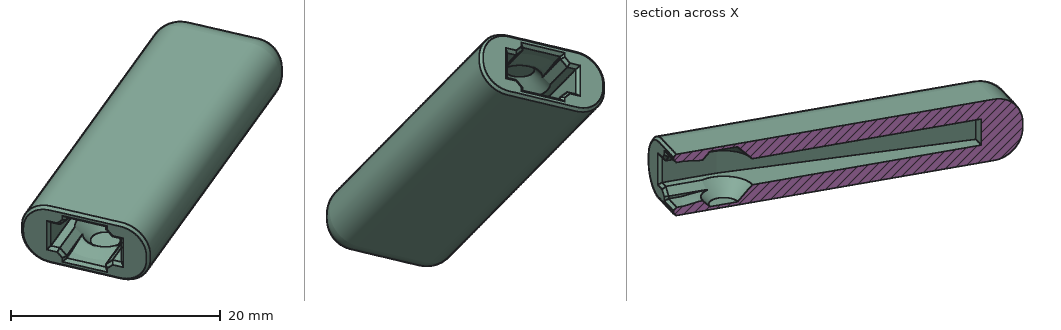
import cadquery as cq
import math

WIDTH = 13.25
LENGTH = 36.0
HEIGHT = 6.5
EDGE_RADIUS = 3.0
MOUTH_CHAMFER = 0.3

SLOT_WIDTH = 7.27
SLOT_HEIGHT = 2.7
SLOT_DEPTH = 31.68
SLOT_END_WIDTH = 2.65

CHANNEL_WIDTH = 4.0
CHANNEL_HEIGHT = 4.68
CHANNEL_DEPTH = 5.95
CHANNEL_CORNER_BEVEL = 0.72
LEAD_IN = 0.32

BUMP_CENTER_DEPTH = 5.2
BUMP_RISE = 0.2
BUMP_BASE_RADIUS = 4.05
BUMP_TOP_RADIUS = 2.52
RECESS_RADIUS = 2.95
RECESS_BOTTOM_Z = 2.88

MOUTH_Y = -LENGTH / 2


def mouth_profile(offset):
    """Outline of slot and channel, grown by offset, on the mouth plane."""
    slot_x = SLOT_WIDTH / 2 + offset
    slot_z = SLOT_HEIGHT / 2 + offset
    channel_x = CHANNEL_WIDTH / 2 + offset
    channel_z = CHANNEL_HEIGHT / 2 + offset
    bevel = CHANNEL_CORNER_BEVEL - offset * (2 - math.sqrt(2))
    bevel_x = channel_x + bevel
    bevel_z = slot_z + bevel
    return (
        cq.Workplane("XZ")
        .moveTo(-slot_x, -slot_z)
        .lineTo(-bevel_x, -slot_z)
        .lineTo(-channel_x, -bevel_z)
        .lineTo(-channel_x, -channel_z)
        .lineTo(channel_x, -channel_z)
        .lineTo(channel_x, -bevel_z)
        .lineTo(bevel_x, -slot_z)
        .lineTo(slot_x, -slot_z)
        .lineTo(slot_x, slot_z)
        .lineTo(bevel_x, slot_z)
        .lineTo(channel_x, bevel_z)
        .lineTo(channel_x, channel_z)
        .lineTo(-channel_x, channel_z)
        .lineTo(-channel_x, bevel_z)
        .lineTo(-bevel_x, slot_z)
        .lineTo(-slot_x, slot_z)
        .close()
        .wire()
        .val()
    )


def make_body():
    body = cq.Workplane("XY").box(WIDTH, LENGTH, HEIGHT)
    body = body.edges("|Y").fillet(EDGE_RADIUS)
    body = body.faces(">Y").edges().fillet(EDGE_RADIUS)
    return body.faces("<Y").chamfer(MOUTH_CHAMFER)


def make_slot():
    half_width = SLOT_WIDTH / 2
    half_end = SLOT_END_WIDTH / 2
    end_y = MOUTH_Y + SLOT_DEPTH
    taper_y = MOUTH_Y + CHANNEL_DEPTH
    outline = [
        (-half_width, MOUTH_Y),
        (half_width, MOUTH_Y),
        (half_width, taper_y),
        (half_end, end_y),
        (-half_end, end_y),
        (-half_width, taper_y),
    ]
    return cq.Workplane("XY").polyline(outline).close().extrude(SLOT_HEIGHT / 2, both=True)


def make_channel():
    profile = mouth_profile(0).moved(cq.Location(cq.Vector(0, MOUTH_Y, 0)))
    return cq.Solid.extrudeLinear(profile, [], cq.Vector(0, CHANNEL_DEPTH, 0))


def make_lead_in():
    """Bevel leading from the mouth into the slot and channel."""
    outer = mouth_profile(LEAD_IN).moved(cq.Location(cq.Vector(0, MOUTH_Y, 0)))
    inner = mouth_profile(0).moved(cq.Location(cq.Vector(0, MOUTH_Y + LEAD_IN, 0)))
    return cq.Solid.makeLoft([outer, inner], True)


def make_bumps():
    """Shallow cones standing on the channel floor and roof."""
    floor_z = CHANNEL_HEIGHT / 2
    top_z = floor_z - BUMP_RISE
    bump = (
        cq.Workplane("XZ")
        .moveTo(0, floor_z)
        .lineTo(BUMP_BASE_RADIUS, floor_z)
        .lineTo(BUMP_TOP_RADIUS, top_z)
        .lineTo(0, top_z)
        .close()
        .revolve(360, (0, 0), (0, 1))
    )
    bumps = bump.union(bump.mirror("XY"))
    return bumps.translate((0, MOUTH_Y + BUMP_CENTER_DEPTH, 0))


def make_recesses():
    """45 degree cones narrowing away from the slot, above and below it."""
    slot_z = SLOT_HEIGHT / 2
    bottom_radius = RECESS_RADIUS - (RECESS_BOTTOM_Z - slot_z)
    recess = (
        cq.Workplane("XZ")
        .lineTo(RECESS_RADIUS, 0)
        .lineTo(RECESS_RADIUS, slot_z)
        .lineTo(bottom_radius, RECESS_BOTTOM_Z)
        .lineTo(0, RECESS_BOTTOM_Z)
        .close()
        .revolve(360, (0, 0), (0, 1))
    )
    recesses = recess.union(recess.mirror("XY"))
    return recesses.translate((0, MOUTH_Y + BUMP_CENTER_DEPTH, 0))


channel = cq.Workplane("XY").add(make_channel()).cut(make_bumps())
result = make_body().cut(channel).cut(make_slot()).cut(make_lead_in()).cut(make_recesses())